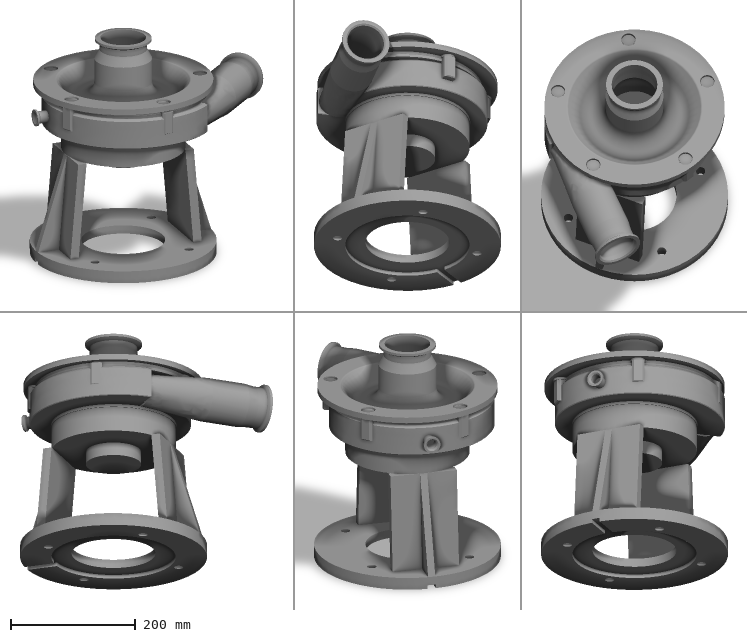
import cadquery as cq
import math

BASE_RADIUS = 150.0
BASE_THICKNESS = 20.0
BASE_HOLE_RADIUS = 67.5
UNDERSIDE_RECESS_RADIUS = 100.0
BASE_BOLT_CIRCLE_RADIUS = 114.5
BASE_BOLT_RADIUS = 7.5
BASE_BOLT_COUNT = 4
BASE_BOLT_FIRST_ANGLE = 45
DRAIN_WIDTH = 14.0
DRAIN_HEIGHT = 6.0

STAND_TOP = 179.5
LEG_WIDTH = 110.0
LEG_THICKNESS = 14.5
LEG_OUTER_AT_BASE = 113.5
RIB_WIDTH = 12.0
RIB_REACH = 149.5

RING_RADIUS = 100.0
RING_TOP = 220.0
RING_LIP = 1.2
SHAFT_BOSS_RADIUS = 44.5
SHAFT_BOSS_BOTTOM = 158.0

CASING_BOTTOM = 224.5
CASING_TOP = 274.5
CASING_TOP_EDGE = 3.5
CASING_BOTTOM_EDGE = 1.2
VOLUTE_START_ANGLE = 45
VOLUTE_START_RADIUS = 123.3
VOLUTE_GROWTH = 24.0
VOLUTE_ANGLE_STEP = 30
RIM_TOP = 281.0
RIM_RADIUS = 130.0
RIM_CENTER = (5.8, 4.0)
RIM_EDGE = 2.0
NECK_INSET = 1.5

PLATE_BOTTOM = 284.8
PLATE_TOP = 294.2
PLATE_RADIUS = 144.5
DISH_MOUTH_RADIUS = 109.5
DISH_FLOOR = 270.0
DISH_FLOOR_OUTER_RADIUS = 77.0
DISH_FLOOR_INNER_RADIUS = 66.5
DISH_FLOOR_FILLET = 15.0
DISH_MOUTH_FILLET = 4.0

LUG_COUNT = 5
LUG_FIRST_ANGLE = 9
BOLT_CIRCLE_RADIUS = 126.0
PLATE_POCKET_RADIUS = 11.5
PLATE_POCKET_DEPTH = 4.0
PIN_RADIUS = 10.3
PIN_DROP = 2.5
LUG_BOTTOM = 244.0
LUG_REACH = 139.5
LUG_SHIFT = (3.3, 3.0)
LUG_TOP = 281.0
LUG_BASE_EDGE = 1.5
LUG_DEPTH = 24.5
LUG_WIDTH = 20.5
LUG_CORNER = 3.3
WASHER_RADIUS = 12.0

INLET_TOP = 365.0
INLET_FLANGE_RADIUS = 45.5
INLET_FLANGE_THICKNESS = 4.0
INLET_FLANGE_BACK = 356.5
INLET_NECK_RADIUS = 38.2
INLET_CONE_TOP = 345.5
INLET_CONE_BOTTOM = 330.0
INLET_RADIUS = 46.5
INLET_WALL = 2.5
INLET_BORE_RADIUS = 36.5
INLET_BORE_DEPTH = 40.0

OUTLET_DIRECTION = 135
OUTLET_OFFSET = 115.5
OUTLET_HEIGHT = 246.5
OUTLET_LENGTH = 211.0
OUTLET_RADIUS = 35.5
OUTLET_FLANGE_RADIUS = 38.5
OUTLET_FLANGE_THICKNESS = 4.0
OUTLET_FLANGE_BACK = 7.5
OUTLET_NECK_RADIUS = 33.3
OUTLET_NECK_LENGTH = 22.5
OUTLET_FLARE_LENGTH = 40.0
OUTLET_STRAIGHT_LENGTH = 104.0
OUTLET_BORE_RADIUS = 30.0
OUTLET_MOUTH_BEVEL = 2.5
OUTLET_MOUTH_WIDTH = 60.0

NOZZLE_REACH = 153.0
NOZZLE_HEIGHT = 248.0
NOZZLE_START = 123.3
NOZZLE_RADIUS = 10.0
NOZZLE_FLANGE_RADIUS = 13.5
NOZZLE_FLANGE_THICKNESS = 3.3
NOZZLE_FLANGE_BACK = 6.0
NOZZLE_BORE_RADIUS = 8.0
NOZZLE_BORE_DEPTH = 18.5
NOZZLE_MOUTH_BEVEL = 2.5


def disc(radius, bottom, top):
    return cq.Workplane("XY").workplane(offset=bottom).circle(radius).extrude(top - bottom)


def on_circle(radius, angle):
    """Point at the given radius and angle in degrees."""
    return radius * math.cos(math.radians(angle)), radius * math.sin(math.radians(angle))


def base():
    plate = disc(BASE_RADIUS, 0, BASE_THICKNESS)
    plate = plate.cut(disc(BASE_HOLE_RADIUS, 0, BASE_THICKNESS))
    bolt_holes = (
        cq.Workplane("XY")
        .polarArray(BASE_BOLT_CIRCLE_RADIUS, BASE_BOLT_FIRST_ANGLE, 360, BASE_BOLT_COUNT)
        .circle(BASE_BOLT_RADIUS)
        .extrude(BASE_THICKNESS)
    )
    recess = disc(UNDERSIDE_RECESS_RADIUS, 0, DRAIN_HEIGHT)
    drain = (
        cq.Workplane("XY")
        .box(DRAIN_WIDTH, BASE_RADIUS, DRAIN_HEIGHT, centered=(True, False, False))
        .translate((0, -BASE_RADIUS, 0))
    )
    return plate.cut(bolt_holes).cut(recess).cut(drain)


def prism_across_x(points, width):
    """Extrude a (Y, Z) outline symmetrically about X = 0."""
    return cq.Workplane("YZ").polyline(points).close().extrude(width / 2, both=True)


def leg():
    """Leaning leg plate with its stiffening rib, on the +Y side."""
    panel = prism_across_x(
        [
            (LEG_OUTER_AT_BASE - LEG_THICKNESS, BASE_THICKNESS),
            (LEG_OUTER_AT_BASE, BASE_THICKNESS),
            (RING_RADIUS, STAND_TOP),
            (RING_RADIUS - LEG_THICKNESS, STAND_TOP),
        ],
        LEG_WIDTH,
    )
    rib = prism_across_x(
        [
            (LEG_OUTER_AT_BASE - LEG_THICKNESS, BASE_THICKNESS),
            (RIB_REACH, BASE_THICKNESS),
            (RING_RADIUS, STAND_TOP),
        ],
        RIB_WIDTH,
    )
    return panel.union(rib)


def volute_radius(angle):
    """Casing radius at an angle in degrees, growing by VOLUTE_GROWTH over one turn, ever faster."""
    turned = (angle - VOLUTE_START_ANGLE) % 360
    return VOLUTE_START_RADIUS + VOLUTE_GROWTH * (turned / 360) ** 2


def volute():
    """Spiral slab with bevelled edges, closed by a straight step at the start angle."""
    points = []
    for turned in range(0, 360, VOLUTE_ANGLE_STEP):
        angle = VOLUTE_START_ANGLE + turned
        points.append(on_circle(volute_radius(angle), angle))
    points.append(on_circle(VOLUTE_START_RADIUS + VOLUTE_GROWTH, VOLUTE_START_ANGLE))
    return (
        cq.Workplane("XY")
        .workplane(offset=CASING_BOTTOM)
        .moveTo(*points[0])
        .spline(points[1:], includeCurrent=True)
        .close()
        .extrude(CASING_TOP - CASING_BOTTOM)
        .faces(">Z")
        .chamfer(CASING_TOP_EDGE)
        .faces("<Z")
        .chamfer(CASING_BOTTOM_EDGE)
    )


def casing():
    rim = disc(RIM_RADIUS, CASING_TOP, RIM_TOP).faces(">Z").chamfer(RIM_EDGE)
    neck = disc(RIM_RADIUS - NECK_INSET, CASING_TOP, PLATE_BOTTOM)
    body = volute().union(rim.union(neck).translate((*RIM_CENTER, 0)))
    body = body.union(disc(RING_RADIUS, STAND_TOP, RING_TOP))
    body = body.union(disc(RING_RADIUS + RING_LIP, RING_TOP, CASING_BOTTOM))
    return body.union(disc(SHAFT_BOSS_RADIUS, SHAFT_BOSS_BOTTOM, STAND_TOP))


def dish():
    """Annular recess in the cover: rounded mouth, 45 degree wall, filleted floor, flare up to the pipe."""
    diagonal = math.sqrt(0.5)
    drop = 1 - diagonal
    half_sine = math.sin(math.pi / 8)
    half_drop = 1 - math.cos(math.pi / 8)
    flare = DISH_FLOOR_INNER_RADIUS - INLET_RADIUS
    return (
        cq.Workplane("XZ")
        .moveTo(DISH_MOUTH_RADIUS, PLATE_TOP)
        .threePointArc(
            (
                DISH_MOUTH_RADIUS - DISH_MOUTH_FILLET * half_sine,
                PLATE_TOP - DISH_MOUTH_FILLET * half_drop,
            ),
            (DISH_MOUTH_RADIUS - DISH_MOUTH_FILLET * diagonal, PLATE_TOP - DISH_MOUTH_FILLET * drop),
        )
        .lineTo(
            DISH_FLOOR_OUTER_RADIUS + DISH_FLOOR_FILLET * diagonal,
            DISH_FLOOR + DISH_FLOOR_FILLET * drop,
        )
        .threePointArc(
            (
                DISH_FLOOR_OUTER_RADIUS + DISH_FLOOR_FILLET * half_sine,
                DISH_FLOOR + DISH_FLOOR_FILLET * half_drop,
            ),
            (DISH_FLOOR_OUTER_RADIUS, DISH_FLOOR),
        )
        .lineTo(DISH_FLOOR_INNER_RADIUS, DISH_FLOOR)
        .threePointArc(
            (INLET_RADIUS + flare * drop, DISH_FLOOR + flare * drop),
            (INLET_RADIUS, DISH_FLOOR + flare),
        )
        .lineTo(INLET_RADIUS, PLATE_TOP)
        .close()
        .revolve(360, (0, 0, 0), (0, 1, 0))
    )


def lug(angle):
    """Clamp block at the given angle, standing proud of the casing, with a washer under the cover plate.

    The outer faces touch a circle whose centre is moved by LUG_SHIFT from the casing axis.
    """
    outward_x, outward_y = on_circle(1, angle)
    outer_radius = LUG_REACH + LUG_SHIFT[0] * outward_x + LUG_SHIFT[1] * outward_y
    block = (
        cq.Workplane("XY")
        .box(LUG_DEPTH, LUG_WIDTH, LUG_TOP - LUG_BOTTOM, centered=(False, True, False))
        .translate((outer_radius - LUG_DEPTH, 0, LUG_BOTTOM))
        .edges("|Z and >X")
        .chamfer(LUG_CORNER)
        .edges("<Z and >X")
        .chamfer(LUG_BASE_EDGE)
    )
    washer = disc(WASHER_RADIUS, LUG_TOP, PLATE_BOTTOM).translate((BOLT_CIRCLE_RADIUS, 0, 0))
    return block.union(washer).rotate((0, 0, 0), (0, 0, 1), angle)


def plate_pocket(angle):
    """Ring-shaped recess at the given angle, with the end of a pin standing inside."""
    hole = disc(PLATE_POCKET_RADIUS, PLATE_TOP - PLATE_POCKET_DEPTH, PLATE_TOP)
    pin = disc(PIN_RADIUS, PLATE_TOP - PLATE_POCKET_DEPTH, PLATE_TOP - PIN_DROP)
    return hole.cut(pin).translate((*on_circle(BOLT_CIRCLE_RADIUS, angle), 0))


def inlet():
    """Flanged inlet pipe whose bore flares to a thin wall below the outer cone."""
    wide_bore_radius = INLET_RADIUS - INLET_WALL
    wide_bore_top = INLET_TOP - INLET_BORE_DEPTH - (INLET_CONE_TOP - INLET_CONE_BOTTOM)
    return (
        cq.Workplane("XZ")
        .polyline(
            [
                (INLET_RADIUS, DISH_FLOOR),
                (INLET_RADIUS, INLET_CONE_BOTTOM),
                (INLET_NECK_RADIUS, INLET_CONE_TOP),
                (INLET_NECK_RADIUS, INLET_FLANGE_BACK),
                (INLET_FLANGE_RADIUS, INLET_TOP - INLET_FLANGE_THICKNESS),
                (INLET_FLANGE_RADIUS, INLET_TOP),
                (INLET_BORE_RADIUS, INLET_TOP),
                (INLET_BORE_RADIUS, INLET_TOP - INLET_BORE_DEPTH),
                (wide_bore_radius, wide_bore_top),
                (wide_bore_radius, DISH_FLOOR),
            ]
        )
        .close()
        .revolve(360, (0, 0, 0), (0, 1, 0))
    )


def outlet_plane(distance):
    """Plane square to the outlet axis, at a distance along it; local X points away from the casing axis."""
    along_x, along_y = on_circle(distance, OUTLET_DIRECTION)
    side_x, side_y = on_circle(OUTLET_OFFSET, VOLUTE_START_ANGLE)
    return cq.Plane(
        origin=(along_x + side_x, along_y + side_y, OUTLET_HEIGHT),
        xDir=(*on_circle(1, VOLUTE_START_ANGLE), 0),
        normal=(*on_circle(1, OUTLET_DIRECTION), 0),
    )


def outlet_pipe():
    """Round pipe turned about the outlet axis; the flange face lies at local Y = 0."""
    face = outlet_plane(OUTLET_LENGTH)
    profile_plane = cq.Plane(origin=face.origin, xDir=face.xDir, normal=(0, 0, 1))
    flare_middle = (OUTLET_NECK_LENGTH + OUTLET_FLARE_LENGTH) / 2
    return (
        cq.Workplane(profile_plane)
        .moveTo(0, -OUTLET_STRAIGHT_LENGTH)
        .lineTo(OUTLET_RADIUS, -OUTLET_STRAIGHT_LENGTH)
        .lineTo(OUTLET_RADIUS, -OUTLET_FLARE_LENGTH)
        .spline(
            [
                ((OUTLET_RADIUS + OUTLET_NECK_RADIUS) / 2, -flare_middle),
                (OUTLET_NECK_RADIUS, -OUTLET_NECK_LENGTH),
            ],
            tangents=[(0, 1), (0, 1)],
            includeCurrent=True,
        )
        .lineTo(OUTLET_NECK_RADIUS, -OUTLET_FLANGE_BACK)
        .lineTo(OUTLET_FLANGE_RADIUS, -OUTLET_FLANGE_THICKNESS)
        .lineTo(OUTLET_FLANGE_RADIUS, 0)
        .lineTo(0, 0)
        .close()
        .revolve(360, (0, 0, 0), (0, 1, 0))
    )


def outlet_transition():
    """Blend from the oval casing passage to the round outlet pipe."""
    length = OUTLET_LENGTH - OUTLET_STRAIGHT_LENGTH
    return (
        cq.Workplane(outlet_plane(0))
        .ellipse(OUTLET_MOUTH_WIDTH / 2, (CASING_TOP - CASING_BOTTOM) / 2)
        .workplane(offset=length)
        .circle(OUTLET_RADIUS)
        .loft()
    )


def outlet_bore():
    """Blind bore along the straight pipe, bevelled at its mouth."""
    bore = (
        cq.Workplane(outlet_plane(OUTLET_LENGTH))
        .circle(OUTLET_BORE_RADIUS)
        .extrude(-OUTLET_STRAIGHT_LENGTH)
    )
    bevel = (
        cq.Workplane(outlet_plane(OUTLET_LENGTH))
        .circle(OUTLET_BORE_RADIUS + OUTLET_MOUTH_BEVEL)
        .workplane(offset=-OUTLET_MOUTH_BEVEL)
        .circle(OUTLET_BORE_RADIUS)
        .loft()
    )
    return bore.union(bevel)


def nozzle():
    neck_end = NOZZLE_FLANGE_BACK - NOZZLE_REACH
    flange_back = NOZZLE_FLANGE_THICKNESS - NOZZLE_REACH
    bore_end = NOZZLE_BORE_DEPTH - NOZZLE_REACH
    return (
        cq.Workplane("XY")
        .polyline(
            [
                (0, -NOZZLE_START),
                (NOZZLE_RADIUS, -NOZZLE_START),
                (NOZZLE_RADIUS, neck_end),
                (NOZZLE_FLANGE_RADIUS, flange_back),
                (NOZZLE_FLANGE_RADIUS, -NOZZLE_REACH),
                (NOZZLE_BORE_RADIUS + NOZZLE_MOUTH_BEVEL, -NOZZLE_REACH),
                (NOZZLE_BORE_RADIUS, NOZZLE_MOUTH_BEVEL - NOZZLE_REACH),
                (NOZZLE_BORE_RADIUS, bore_end),
                (0, bore_end),
            ]
        )
        .close()
        .revolve(360, (0, 0, 0), (0, 1, 0))
        .translate((0, 0, NOZZLE_HEIGHT))
    )


def around_cover(feature):
    """All copies of a feature that is built from its angle, one at every lug position."""
    copies = cq.Workplane("XY")
    for index in range(LUG_COUNT):
        copies = copies.add(feature(LUG_FIRST_ANGLE + index * 360 / LUG_COUNT))
    return copies.combine()


stand = base().union(leg()).union(leg().mirror("XZ"))
pump = casing().union(disc(PLATE_RADIUS, PLATE_BOTTOM, PLATE_TOP)).union(around_cover(lug))
pump = pump.cut(dish()).cut(around_cover(plate_pocket))
pump = pump.cut(disc(INLET_RADIUS, DISH_FLOOR, PLATE_TOP)).union(inlet()).union(nozzle())
pump = pump.union(outlet_transition()).union(outlet_pipe()).cut(outlet_bore())
result = stand.union(pump)